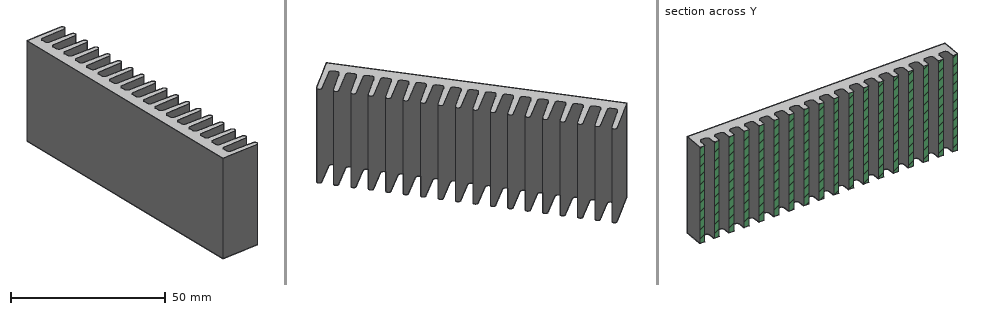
import cadquery as cq
import math

length = 100.0
depth = 15.0
height = 37.5

fin_count = 18
fin_pitch = 5.8
base_thickness = 4.0
tip_radius = 0.9
taper_angle = 1.2
root_radius = 1.0

draft = math.radians(taper_angle)
tip_center_y = depth - tip_radius

tangent_x = tip_radius * math.cos(draft)
tangent_y = tip_center_y + tip_radius * math.sin(draft)

root_half_width = tangent_x + (tangent_y - base_thickness) * math.tan(draft)

end_center_x = length / 2 - tip_radius
inner_fin_count = fin_count - 2
first_inner_x = -fin_pitch * (inner_fin_count - 1) / 2


def inner_fin(center_x):
    """Fin with both sides tapered and a full round tip."""
    return (
        cq.Workplane("XY")
        .moveTo(center_x - root_half_width, 0)
        .lineTo(center_x - root_half_width, base_thickness)
        .lineTo(center_x - tangent_x, tangent_y)
        .threePointArc((center_x, depth), (center_x + tangent_x, tangent_y))
        .lineTo(center_x + root_half_width, base_thickness)
        .lineTo(center_x + root_half_width, 0)
        .close()
        .extrude(height)
    )


def end_fin(side):
    """Outermost fin: upright on the outside, tapered inside; side is -1 or 1."""
    center_x = side * end_center_x
    outer_x = side * length / 2
    root_x = center_x - side * root_half_width
    return (
        cq.Workplane("XY")
        .moveTo(outer_x, 0)
        .lineTo(outer_x, tip_center_y)
        .threePointArc((center_x, depth), (center_x - side * tangent_x, tangent_y))
        .lineTo(root_x, base_thickness)
        .lineTo(root_x, 0)
        .close()
        .extrude(height)
    )


result = cq.Workplane("XY").box(length, base_thickness, height, centered=(True, False, False))

for index in range(inner_fin_count):
    result = result.union(inner_fin(first_inner_x + index * fin_pitch))
for side in (-1, 1):
    result = result.union(end_fin(side))

selection_margin = 0.1
root_zone = cq.selectors.BoxSelector(
    (-length / 2 + selection_margin, base_thickness - selection_margin, 0),
    (length / 2 - selection_margin, base_thickness + selection_margin, height),
)
result = result.edges("|Z").edges(root_zone).fillet(root_radius)